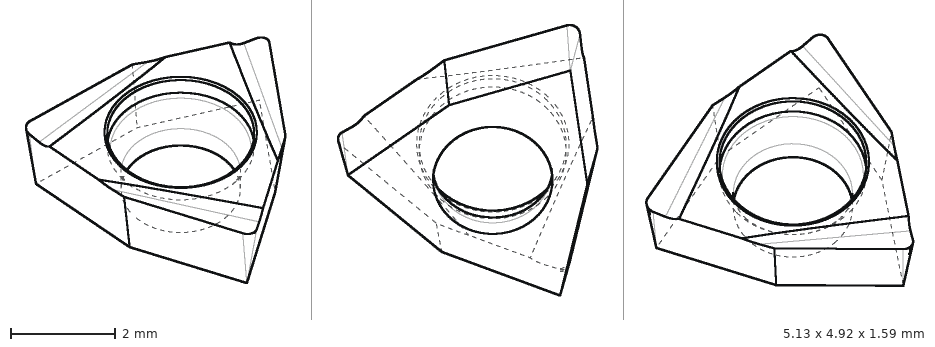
import cadquery as cq
import math

thickness = 1.59
corners = 3
step_angle = 360 / corners
nose_angle = 80.0
edge_distance = 1.985
edge_start_x = -0.345
relief_angle = 7.0
nose_radius = 0.2
sharp_radius = 0.0025

land_angle = 11.0
groove_radius = 0.31
groove_nose_x = 2.25
groove_nose_offset = 0.475
groove_tail_x = -0.55
groove_tail_offset = 0.12
cutter_overrun = 0.77
cutter_width = 1.025
cutter_height = 0.77

bore_radius = 1.145
counterbore_radius = 1.41
mouth_radius = 1.46
mouth_depth = 0.035
counterbore_depth = 0.39
seat_radius = 1.355
seat_top_depth = 0.48
seat_bottom_depth = 1.115


def turn(point, degrees):
    """Rotate a plan point about the hole axis."""
    c = math.cos(math.radians(degrees))
    s = math.sin(math.radians(degrees))
    return (point[0] * c - point[1] * s, point[0] * s + point[1] * c)


def nose_points(inset, radius):
    """Blunt vertex and nose arc of the lower edge, with all edges moved in by inset."""
    blunt_turn = step_angle - (180 - nose_angle)
    vertex_shift = inset * math.tan(math.radians(blunt_turn / 2))
    vertex = (edge_start_x + vertex_shift, inset - edge_distance)
    next_vertex = turn(vertex, step_angle)
    rise = next_vertex[1] - vertex[1]
    corner_x = next_vertex[0] + rise / math.tan(math.radians(nose_angle))
    half_angle = math.radians(nose_angle / 2)
    centre = (corner_x - radius / math.tan(half_angle), vertex[1] + radius)

    def arc_point(degrees):
        a = math.radians(degrees)
        return (centre[0] + radius * math.cos(a), centre[1] + radius * math.sin(a))

    arc_end = 90 - nose_angle
    return vertex, arc_point(-90), arc_point((arc_end - 90) / 2), arc_point(arc_end)


def outline(inset, radius, height):
    """Closed trigon wire at the given height."""
    vertex, arc_start, arc_middle, arc_end = nose_points(inset, radius)
    wire = cq.Workplane("XY").workplane(offset=height).moveTo(*vertex)
    for i in range(corners):
        angle = i * step_angle
        wire = wire.lineTo(*turn(arc_start, angle))
        wire = wire.threePointArc(turn(arc_middle, angle), turn(arc_end, angle))
        if i < corners - 1:
            wire = wire.lineTo(*turn(vertex, angle + step_angle))
    return wire.close().wire().val()


def make_body():
    inset = thickness * math.tan(math.radians(relief_angle))
    bottom = outline(inset, sharp_radius, 0)
    top = outline(0, nose_radius, thickness)
    return cq.Workplane(cq.Solid.makeLoft([bottom, top], True))


def land_point(x, offset):
    """Point on the inclined land at a distance in from the lower cutting edge."""
    drop = offset * math.tan(math.radians(land_angle))
    return cq.Vector(x, offset - edge_distance, thickness - drop)


def chip_breaker():
    """Cutter for the land and groove of the lower edge."""
    tail = land_point(groove_tail_x, groove_tail_offset)
    nose = land_point(groove_nose_x, groove_nose_offset)
    along = (nose - tail).normalized()
    slope = math.radians(land_angle)
    land_normal = cq.Vector(0, math.sin(slope), math.cos(slope))
    inward = land_normal.cross(along)
    plane = cq.Plane(tail - along * cutter_overrun, inward, along)
    length = (nose - tail).Length + 2 * cutter_overrun
    diagonal = groove_radius * math.sqrt(0.5)
    profile = (
        cq.Workplane(plane)
        .moveTo(-cutter_width, 0)
        .lineTo(0, 0)
        .threePointArc((diagonal, groove_radius - diagonal), (groove_radius, groove_radius))
        .lineTo(groove_radius, cutter_height)
        .lineTo(-cutter_width, cutter_height)
        .close()
    )
    return profile.extrude(length)


def screw_hole():
    """Revolved hole: bevelled mouth, counterbore, curved seat and bore."""
    seat_width = seat_radius - bore_radius
    seat_height = seat_bottom_depth - seat_top_depth
    arc_radius = (seat_width**2 + seat_height**2) / (2 * seat_width)
    half_sweep = math.asin(seat_height / arc_radius) / 2
    arc_middle = (
        bore_radius + arc_radius * (1 - math.cos(half_sweep)),
        thickness - seat_bottom_depth + arc_radius * math.sin(half_sweep),
    )
    return (
        cq.Workplane("XZ")
        .moveTo(0, 0)
        .lineTo(bore_radius, 0)
        .lineTo(bore_radius, thickness - seat_bottom_depth)
        .threePointArc(arc_middle, (seat_radius, thickness - seat_top_depth))
        .lineTo(counterbore_radius, thickness - counterbore_depth)
        .lineTo(counterbore_radius, thickness - mouth_depth)
        .lineTo(mouth_radius, thickness)
        .lineTo(0, thickness)
        .close()
        .revolve(360, (0, 0, 0), (0, 1, 0))
    )


result = make_body().cut(screw_hole())
breaker = chip_breaker()
for i in range(corners):
    result = result.cut(breaker.rotate((0, 0, 0), (0, 0, 1), i * step_angle))